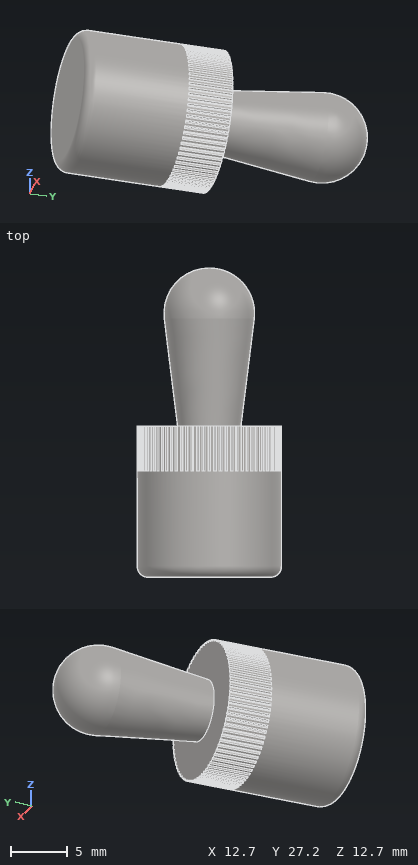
import cadquery as cq
import math

total_length = 27.2

housing_diameter = 12.7
housing_length = 13.3
end_fillet = 0.95

knurl_length = 3.97
groove_count = 80
groove_width = 0.25
groove_depth = 0.122

ball_radius = 4.0
pin_root_radius = 2.8

housing_radius = housing_diameter / 2
closed_end_y = -total_length / 2
shoulder_y = closed_end_y + housing_length
ball_centre_y = total_length / 2 - ball_radius


def make_groove_cutters():
    """V-shaped bars that run along the knurl, one for each groove."""
    overshoot = 0.05
    mouth_half_width = groove_width / 2 * (groove_depth + overshoot) / groove_depth
    bar = (
        cq.Workplane("XZ", origin=(0, shoulder_y, 0))
        .moveTo(housing_radius - groove_depth, 0)
        .lineTo(housing_radius + overshoot, mouth_half_width)
        .lineTo(housing_radius + overshoot, -mouth_half_width)
        .close()
        .extrude(knurl_length)
        .val()
    )
    pitch_angle = 360 / groove_count
    axis_start = cq.Vector(0, 0, 0)
    axis_end = cq.Vector(0, 1, 0)
    return [bar.rotate(axis_start, axis_end, i * pitch_angle) for i in range(groove_count)]


def make_housing():
    """Filleted cylinder with a band of straight knurling next to its shoulder."""
    body = (
        cq.Workplane("XZ", origin=(0, shoulder_y, 0))
        .circle(housing_radius)
        .extrude(housing_length)
        .faces("<Y")
        .edges()
        .fillet(end_fillet)
        .val()
    )
    return cq.Workplane(body.cut(*make_groove_cutters()))


def make_pin():
    """Tapered pin standing on the shoulder, its cone running tangent into the ball end."""
    centre_height = ball_centre_y - shoulder_y
    root_to_centre = math.hypot(pin_root_radius, centre_height)
    taper = math.asin(ball_radius / root_to_centre) - math.atan2(pin_root_radius, centre_height)

    def ball_point(angle):
        """Point of the ball profile at an angle from its equator, positive towards the tip."""
        return (ball_radius * math.cos(angle), ball_centre_y + ball_radius * math.sin(angle))

    return (
        cq.Workplane("XY")
        .moveTo(0, shoulder_y)
        .lineTo(pin_root_radius, shoulder_y)
        .lineTo(*ball_point(-taper))
        .threePointArc(ball_point(0), ball_point(math.pi / 2))
        .close()
        .revolve(360, (0, 0, 0), (0, 1, 0))
    )


housing = make_housing()
pin = make_pin()

result = cq.Compound.makeCompound([housing.val(), pin.val()])